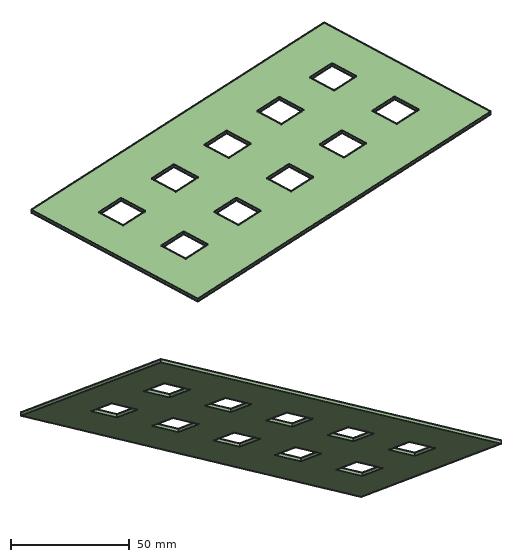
import cadquery as cq

plate_width = 95.2
plate_length = 183.1
plate_thickness = 1.52

window_side = 14.0
columns = 2
rows = 5
column_pitch = 35.7
row_pitch = 33.0
grid_center_x = -0.5
grid_center_y = -0.7


def make_plate():
    return cq.Workplane("XY").box(
        plate_width, plate_length, plate_thickness, centered=(True, True, False)
    )


def make_windows():
    """Square cutters that pass through the full plate thickness."""
    return (
        cq.Workplane("XY")
        .center(grid_center_x, grid_center_y)
        .rarray(column_pitch, row_pitch, columns, rows)
        .rect(window_side, window_side)
        .extrude(plate_thickness)
    )


result = make_plate().cut(make_windows())